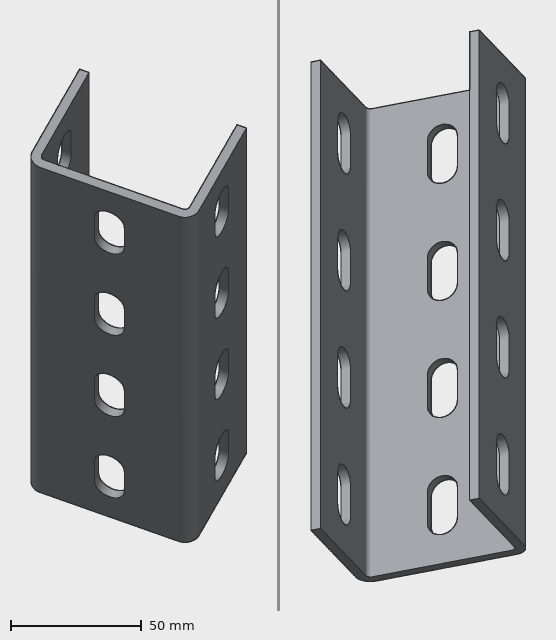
import cadquery as cq

width = 70.0
depth = 50.0
height = 200.0

wall = 4.0
outer_bend_radius = 6.0
inner_bend_radius = outer_bend_radius - wall

slot_width = 12.5
slot_length = 25.0
slot_pitch = 50.0
slot_count = 4
flange_slot_from_open_edge = 23.0

web_face_y = -depth / 2
flange_slot_y = depth / 2 - flange_slot_from_open_edge


def channel():
    """U-shaped channel with rounded bends, running along Z."""
    outer = (
        cq.Workplane("XY")
        .box(width, depth, height)
        .edges("|Z and <Y")
        .fillet(outer_bend_radius)
    )
    inner = (
        cq.Workplane("XY")
        .box(width - 2 * wall, depth, height)
        .translate((0, wall, 0))
        .edges("|Z and <Y")
        .fillet(inner_bend_radius)
    )
    return outer.cut(inner)


def slot_column(plane, across, cut_length):
    """Column of upright slot cutters, extruded both ways from the plane."""
    first_z = -slot_pitch * (slot_count - 1) / 2
    centers = [(across, first_z + i * slot_pitch) for i in range(slot_count)]
    return (
        cq.Workplane(plane)
        .pushPoints(centers)
        .slot2D(slot_length, slot_width, angle=90)
        .extrude(cut_length / 2, both=True)
    )


web_slots = slot_column("XZ", 0, 2 * wall).translate((0, web_face_y, 0))
flange_slots = slot_column("YZ", flange_slot_y, 2 * width)

result = channel().cut(web_slots).cut(flange_slots)